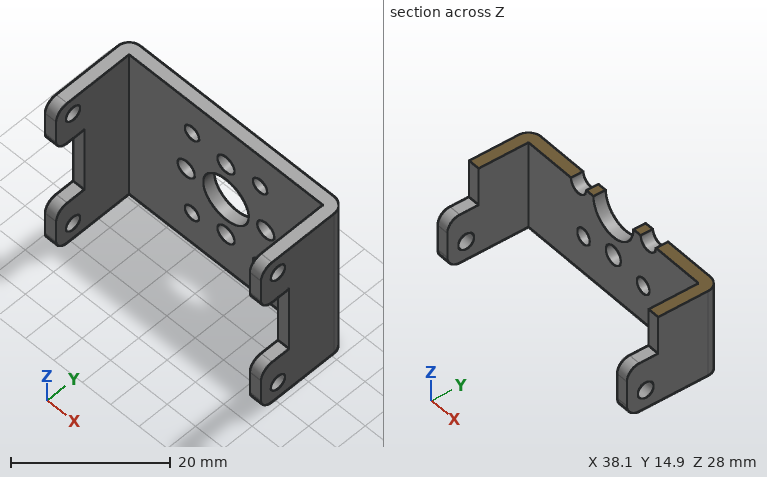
import cadquery as cq

width = 38.1
depth = 14.95
height = 28.0
thickness = 2.0
corner_radius = thickness

lug_height = 8.0
lug_length = 5.0
lug_hole_inset = 3.0
lug_hole_diameter = 2.5

center_hole_diameter = 8.0
ring_hole_diameter = 3.0
ring_radius = 7.0
corner_hole_diameter = 2.5
corner_hole_spacing_x = 12.0
corner_hole_spacing_z = 16.0

inner_width = width - 2 * thickness
inner_depth = depth - thickness
notch_height = height - 2 * lug_height


def make_channel():
    """U-shaped channel with rounded outer bends and sharp inner corners."""
    outer = cq.Workplane("XY").box(width, depth, height, centered=(True, False, True))
    outer = outer.edges("|Z and >Y").fillet(corner_radius)
    inner = cq.Workplane("XY").box(inner_width, inner_depth, height, centered=(True, False, True))
    return outer.cut(inner)


def cut_notches(body):
    """Split the free edge of both walls into lugs and round the lug corners."""
    notch = cq.Workplane("XY").box(width, lug_length, notch_height, centered=(True, False, True))
    return body.cut(notch).edges("|X and <Y").fillet(corner_radius)


def lug_holes():
    """Cross holes passing through the lugs of both walls."""
    hole_z = height / 2 - lug_hole_inset
    return (
        cq.Workplane("YZ", origin=(-width / 2, 0, 0))
        .pushPoints([(lug_hole_inset, -hole_z), (lug_hole_inset, hole_z)])
        .circle(lug_hole_diameter / 2)
        .extrude(width)
    )


def plate_holes():
    """Central bore, ring of four holes and four corner holes in the back plate."""
    plate = cq.Workplane("XZ", origin=(0, depth, 0))
    bore = plate.circle(center_hole_diameter / 2).extrude(thickness)
    ring = plate.polarArray(ring_radius, 0, 360, 4).circle(ring_hole_diameter / 2).extrude(thickness)
    corners = (
        plate.rarray(corner_hole_spacing_x, corner_hole_spacing_z, 2, 2)
        .circle(corner_hole_diameter / 2)
        .extrude(thickness)
    )
    return bore.add(ring).add(corners).combine()


result = cut_notches(make_channel()).cut(lug_holes()).cut(plate_holes())